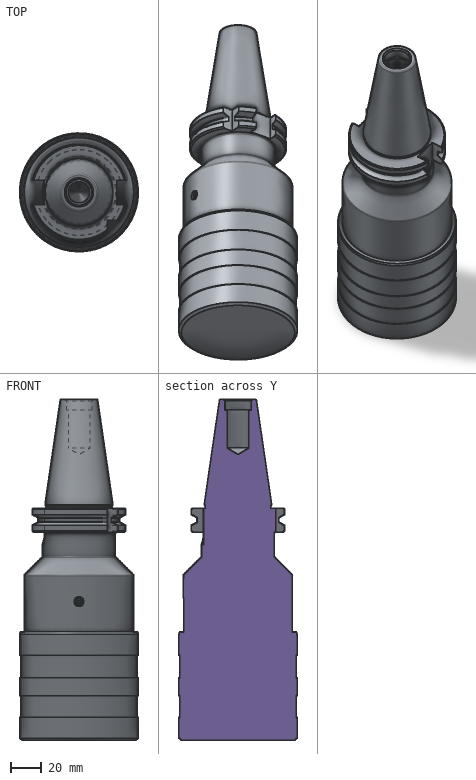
import cadquery as cq
import math


gauge_d = 44.45
taper_length = 68.4
taper_ratio = 7 / 24
taper_tip_d = gauge_d - taper_length * taper_ratio
tip_fillet = 0.9
taper_end = -0.9
relief_d = 43.6
relief_top = -1.8

flange_d = 63.55
flange_top = -3.2
flange_bottom = -19.1
flange_chamfer = 0.8
flange_bottom_chamfer = 1.0
groove_d = 56.25
groove_mid = -11.0
groove_floor_width = 2.9
groove_angle = 30
groove_fillet = 0.4

neck_d = 48.0
neck_bottom = -35.2
body_d = 72.0
body_top = neck_bottom - (body_d - neck_d) / 2
neck_fillet = 0.8
shoulder_fillet = 1.0

sleeve_d = 78.1
sleeve_top = -84.6
sleeve_top_chamfer_width = 0.6
sleeve_top_chamfer_height = 1.4
sleeve_bottom = -156.0
sleeve_bottom_chamfer_width = 1.8
sleeve_bottom_chamfer_height = 1.5
band_depth = 0.6
bands = [(-100.1, -114.9), (-126.6, -140.8)]

slot_width = 16.1
slot_radius = slot_width / 2
deep_slot_x = -22.8
shallow_slot_x = 25.0
notch_corner = 18.5

edge_margin = 0.2

bore_mouth_d = 19.0
pilot_d = 17.0
pilot_depth = 7.0
thread_d = 14.0
thread_depth = 32.0
drill_angle = 118

screw_z = -64.7
screw_mouth_d = 6.4
screw_d = 4.4
countersink_half_angle = 45
screw_recess = 1.5
hex_width = 2.0
hex_depth = 2.5


def revolve_profile(points):
    """Revolve (radius, z) points about the Z axis."""
    return cq.Workplane("XZ").polyline(points).close().revolve(360, (0, 0), (0, 1))


def make_body():
    """Turned outer shape, from the taper tip down to the sleeve end."""
    flange_r = flange_d / 2
    groove_r = groove_d / 2
    sleeve_r = sleeve_d / 2
    floor_half = groove_floor_width / 2
    rim_half = floor_half + (flange_r - groove_r) * math.tan(math.radians(groove_angle))
    points = [
        (0, taper_length),
        (taper_tip_d / 2, taper_length),
        ((gauge_d - taper_end * taper_ratio) / 2, taper_end),
        (relief_d / 2, relief_top),
        (relief_d / 2, flange_top),
        (flange_r - flange_chamfer, flange_top),
        (flange_r, flange_top - flange_chamfer),
        (flange_r, groove_mid + rim_half),
        (groove_r, groove_mid + floor_half),
        (groove_r, groove_mid - floor_half),
        (flange_r, groove_mid - rim_half),
        (flange_r, flange_bottom + flange_bottom_chamfer),
        (flange_r - flange_bottom_chamfer, flange_bottom),
        (neck_d / 2, flange_bottom),
        (neck_d / 2, neck_bottom),
        (body_d / 2, body_top),
        (body_d / 2, sleeve_top),
        (sleeve_r - sleeve_top_chamfer_width, sleeve_top),
        (sleeve_r, sleeve_top - sleeve_top_chamfer_height),
    ]
    for band_top, band_bottom in bands:
        points += [
            (sleeve_r, band_top),
            (sleeve_r - band_depth, band_top),
            (sleeve_r - band_depth, band_bottom),
            (sleeve_r, band_bottom),
        ]
    points += [
        (sleeve_r, sleeve_bottom + sleeve_bottom_chamfer_height),
        (sleeve_r - sleeve_bottom_chamfer_width, sleeve_bottom),
        (0, sleeve_bottom),
    ]
    return revolve_profile(points)


def fillet_ring(part, diameter, z, radius):
    """Round the circular edge of the given diameter at height z."""
    reach = diameter / 2 + edge_margin
    lower = (-reach, -reach, z - edge_margin)
    upper = (reach, reach, z + edge_margin)
    near_edge = cq.selectors.BoxSelector(lower, upper, boundingbox=True)
    return part.edges(near_edge).edges("%CIRCLE").fillet(radius)


def round_corners(part):
    """Fillet the taper tip, the groove floor, the neck root and both ends of the shoulder cone."""
    half_floor = groove_floor_width / 2
    part = fillet_ring(part, taper_tip_d, taper_length, tip_fillet)
    part = fillet_ring(part, groove_d, groove_mid + half_floor, groove_fillet)
    part = fillet_ring(part, groove_d, groove_mid - half_floor, groove_fillet)
    part = fillet_ring(part, neck_d, flange_bottom, neck_fillet)
    part = fillet_ring(part, neck_d, neck_bottom, shoulder_fillet)
    return fillet_ring(part, body_d, body_top, shoulder_fillet)


def make_slot(floor_x):
    """Driving slot open at the flange top, with a round lower end, cut outward from floor_x."""
    outward = math.copysign(flange_d, floor_x)
    return (
        cq.Workplane("YZ", origin=(floor_x, 0, 0))
        .moveTo(-slot_radius, flange_top)
        .lineTo(-slot_radius, flange_bottom)
        .threePointArc((0, flange_bottom - slot_radius), (slot_radius, flange_bottom))
        .lineTo(slot_radius, flange_top)
        .close()
        .extrude(outward)
    )


def make_notch():
    """Square-cornered orientation notch through the flange at +X, -Y."""
    size = flange_d / 2
    return cq.Workplane("XY").box(size, size, flange_top - flange_bottom, centered=False).translate(
        (notch_corner, -notch_corner - size, flange_bottom)
    )


def make_knob_bore():
    """Stepped bore with a beveled mouth and a drill-point bottom."""
    mouth_chamfer = (bore_mouth_d - pilot_d) / 2
    point_height = thread_d / 2 / math.tan(math.radians(drill_angle / 2))
    return revolve_profile(
        [
            (0, taper_length),
            (bore_mouth_d / 2, taper_length),
            (pilot_d / 2, taper_length - mouth_chamfer),
            (pilot_d / 2, taper_length - pilot_depth),
            (thread_d / 2, taper_length - pilot_depth),
            (thread_d / 2, taper_length - thread_depth),
            (0, taper_length - thread_depth - point_height),
        ]
    )


def add_set_screw(part):
    """Countersunk hole with a hex-socket screw sitting below the body surface."""
    front = cq.Workplane("XZ", origin=(0, -body_d / 2, screw_z))
    countersink_depth = (screw_mouth_d - screw_d) / 2 / math.tan(math.radians(countersink_half_angle))
    hole = front.circle(screw_d / 2).extrude(-screw_recess)
    countersink = front.circle(screw_mouth_d / 2).extrude(-countersink_depth, taper=countersink_half_angle)
    hex_diagonal = hex_width / math.cos(math.pi / 6)
    socket = front.workplane(offset=-screw_recess).polygon(6, hex_diagonal).extrude(-hex_depth)
    return part.cut(hole).cut(countersink).cut(socket)


result = round_corners(make_body())
result = result.cut(make_slot(deep_slot_x)).cut(make_slot(shallow_slot_x))
result = result.cut(make_notch()).cut(make_knob_bore())
result = add_set_screw(result).solids().val()